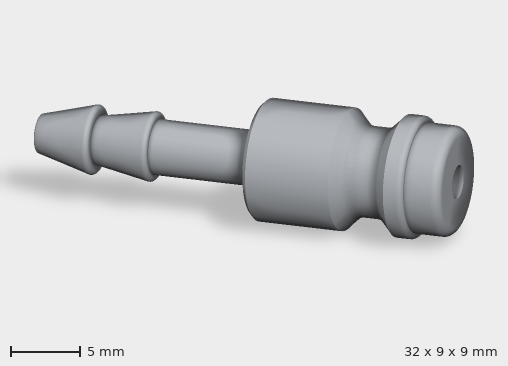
import cadquery as cq
import math

length = 32.0
bore_radius = 2.5 / 2

stem_radius = 4.05 / 2
tip_radius = 1.47
tip_rounding = 0.2
barb_crest_radius = 2.55
barb_rounding = 0.32
first_barb_end = 4.5
second_barb_end = 9.0
second_barb_start_radius = 1.8
first_barb_angle = math.radians(14.7)
second_barb_angle = math.radians(10.3)

body_start = 17.0
body_radius = 9.0 / 2
body_chamfer = 0.32
root_fillet = (4.95 - 4.05) / 2
groove_radius = 6.65 / 2
groove_fillet = 0.95
groove_start = 23.65
groove_end = 27.87
plug_radius = 8.1 / 2
shoulder_rounding = body_radius - plug_radius
shoulder_end = 29.3
end_rounding = 0.67

groove_depth = body_radius - groove_radius
groove_tangent = groove_fillet * math.tan(math.pi / 8)


def rounded_end(profile, center, radius, start_angle, end_angle):
    """Append a line to the arc start and a circular arc around center (angles in radians)."""
    middle_angle = (start_angle + end_angle) / 2

    def point(angle):
        return (center[0] + radius * math.cos(angle), center[1] + radius * math.sin(angle))

    return profile.lineTo(*point(start_angle)).threePointArc(point(middle_angle), point(end_angle))


def add_barb(profile, end, cone_angle):
    """Append a cone and its rounded crest, ending on the barb's flat back face."""
    center = (end - barb_rounding, barb_crest_radius - barb_rounding)
    return rounded_end(profile, center, barb_rounding, math.pi / 2 + cone_angle, 0)


def add_groove(profile):
    """Append the 45 degree locking groove with filleted floor corners."""
    left_corner = groove_start + groove_depth
    right_corner = groove_end - groove_depth
    center_height = groove_radius + groove_fillet
    profile = profile.lineTo(groove_start, body_radius)
    profile = rounded_end(
        profile,
        (left_corner + groove_tangent, center_height),
        groove_fillet,
        -3 * math.pi / 4,
        -math.pi / 2,
    )
    profile = rounded_end(
        profile,
        (right_corner - groove_tangent, center_height),
        groove_fillet,
        -math.pi / 2,
        -math.pi / 4,
    )
    return profile.lineTo(groove_end, body_radius)


section = cq.Workplane("XY").moveTo(0, bore_radius)
section = rounded_end(
    section,
    (tip_rounding, tip_radius - tip_rounding),
    tip_rounding,
    math.pi,
    math.pi / 2 + first_barb_angle,
)
section = add_barb(section, first_barb_end, first_barb_angle)
section = section.lineTo(first_barb_end, second_barb_start_radius)
section = add_barb(section, second_barb_end, second_barb_angle)
section = section.lineTo(second_barb_end, stem_radius)
section = rounded_end(
    section,
    (body_start - root_fillet, stem_radius + root_fillet),
    root_fillet,
    -math.pi / 2,
    0,
)
section = section.lineTo(body_start, body_radius - body_chamfer)
section = section.lineTo(body_start + body_chamfer, body_radius)
section = add_groove(section)
section = rounded_end(
    section,
    (shoulder_end - shoulder_rounding, plug_radius),
    shoulder_rounding,
    math.pi / 2,
    0,
)
section = rounded_end(
    section,
    (length - end_rounding, plug_radius - end_rounding),
    end_rounding,
    math.pi / 2,
    0,
)
section = section.lineTo(length, bore_radius).close()

result = section.revolve(360, (0, 0, 0), (1, 0, 0))